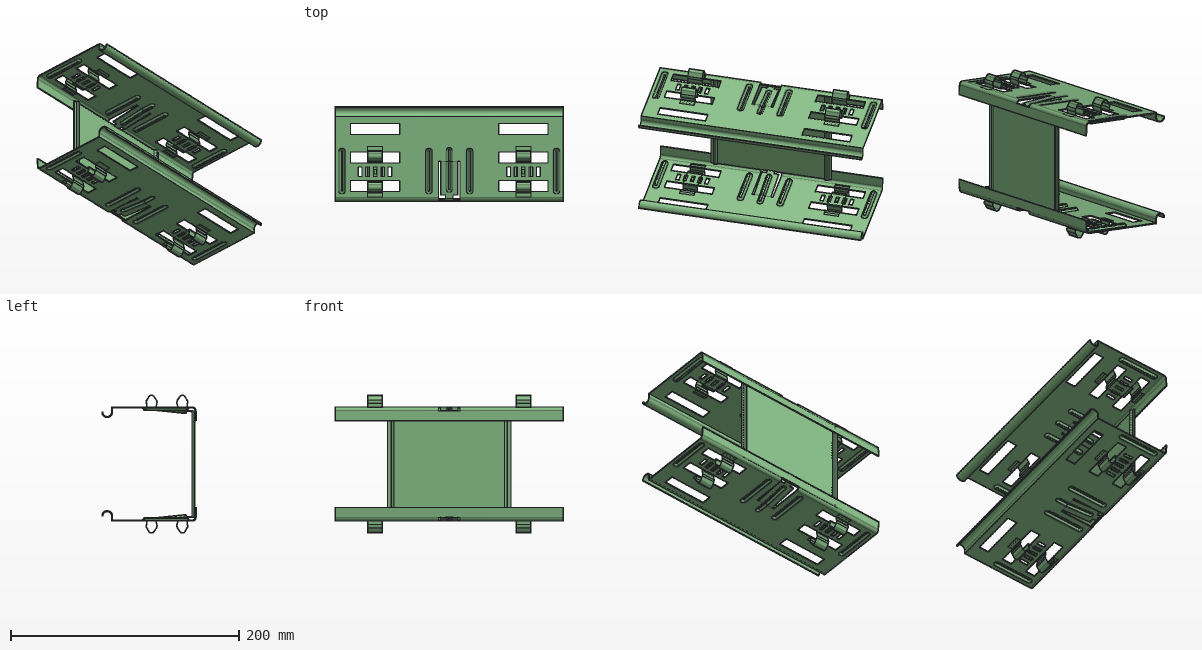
import cadquery as cq
import math


length = 200.0
half_height = 50.0
sheet = 1.0
big = 300.0

bend_radius = 3.3
flange_depth = 12.0
flange_lean = math.radians(3.0)
hook_wall_y = 74.7
hook_radius = 4.75
hook_depth = 4.5

slot_group_x = 65.0
slot_length = 43.0
slot_width = 9.5
slot_pitch = 25.0
clip_y = 26.1
small_slot_count = 5
small_slot_pitch = 6.5
small_slot_size = (3.0, 8.0)

rib_xs = (-94.0, -17.85, 17.85, 94.0)
rib_start_y = 9.6
rib_end_y = 43.8
tongue_rib_start_y = 10.4
tongue_rib_end_y = 44.9
rib_depth = 2.2
rib_floor_half_width = 0.6
rib_mouth_half_width = 2.4
rib_mouth_fillet = 1.5
tongue_rib_mouth_half_width = 2.1
tongue_rib_mouth_fillet = 1.0

window_half_width = 9.4
window_depth = bend_radius
tongue_half_width = 7.6
tongue_end_y = 5.4
tab_half_width = 3.3
hinge_y = 35.1
tongue_angle = 6.0

web_half_width = 54.2
web_half_height = half_height - window_depth
web_front_y = 1.5
web_back_y = web_front_y + sheet
bead_outer_edge_x = 51.0
bead_deepest_x = 50.4
bead_groove_radius = 1.8
bead_back_radius = 1.8
bead_back_x = 50.1

clip_width = 13.0
clip_stock = 0.4
clip_half_stock = clip_stock / 2
clip_top = 121.0 / 2
clip_base_z = half_height - sheet - clip_half_stock
clip_crown_z = clip_top - clip_half_stock
inner_leg = 9.6
inner_bulge = (8.6, 53.8)
inner_shoulder = (9.1, 55.8)
crown_start = (11.4, 59.2)
crown_middle = (13.6, clip_crown_z)
crown_end = (15.8, 59.2)
outer_shoulder = (17.5, 56.0)
outer_bulge = (18.3, 54.2)
outer_leg_top = (17.6, 53.0)
foot_tip = (22.1, half_height - 0.5)
nub_size = (2.2, 4.0, 0.6)


def box(x_range, y_range, z_range):
    """Box between the given limits."""
    size = [high - low for low, high in (x_range, y_range, z_range)]
    corner = (x_range[0], y_range[0], z_range[0])
    return cq.Workplane("XY").box(*size, centered=False).translate(corner)


def rib_frustum(x, start_y, end_y, floor_half_width, mouth_half_width, depth):
    """Round-ended tapered body sunk from the outer face of a plate, its floor centred on X = x."""
    taper = math.degrees(math.atan2(mouth_half_width - floor_half_width, depth))
    return (
        cq.Workplane("XY", origin=(x, (start_y + end_y) / 2, half_height))
        .slot2D(end_y - start_y + 2 * mouth_half_width, 2 * mouth_half_width, 90)
        .extrude(-depth, taper=taper)
    )


def press_rib(plate, x, start_y, end_y, mouth_half_width, mouth_fillet):
    """Press a tapered, round-ended rib into the outer face of a plate."""
    slope = (mouth_half_width - rib_floor_half_width) / rib_depth
    side_offset = sheet * math.hypot(1, slope)
    shell_depth = rib_depth + sheet
    shell_mouth = mouth_half_width + side_offset
    shell_floor = shell_mouth - slope * shell_depth
    shell = rib_frustum(x, start_y, end_y, shell_floor, shell_mouth, shell_depth)
    groove = rib_frustum(x, start_y, end_y, rib_floor_half_width, mouth_half_width, rib_depth)
    reach = mouth_half_width + sheet / 2
    mouth = cq.selectors.BoxSelector(
        (x - reach, start_y - reach, half_height - sheet / 2),
        (x + reach, end_y + reach, half_height + sheet / 2),
    )
    return plate.union(shell).cut(groove).edges(mouth).fillet(mouth_fillet)


def plate_section():
    """Leaning front flange, flat plate and rear hook, extruded along X."""
    top = half_height
    flange_end_z = top - flange_depth
    bend_z = top - bend_radius
    rise = bend_z + bend_radius * math.sin(flange_lean) - flange_end_z
    bend_y = bend_radius * math.cos(flange_lean) + rise * math.tan(flange_lean)
    bend_middle = (math.pi / 2 + flange_lean) / 2

    def on_bend(radius, angle):
        return (bend_y - radius * math.cos(angle), bend_z + radius * math.sin(angle))

    inner_bend = bend_radius - sheet
    hook_inner = hook_radius - sheet
    hook_y = hook_wall_y + hook_inner
    hook_z = top - hook_depth
    return (
        cq.Workplane("YZ")
        .moveTo(0, flange_end_z)
        .lineTo(*on_bend(bend_radius, flange_lean))
        .threePointArc(on_bend(bend_radius, bend_middle), (bend_y, top))
        .lineTo(hook_wall_y, top)
        .lineTo(hook_wall_y, hook_z)
        .threePointArc((hook_y, hook_z - hook_inner), (hook_y + hook_inner, hook_z))
        .lineTo(hook_y + hook_radius, hook_z)
        .threePointArc((hook_y, hook_z - hook_radius), (hook_y - hook_radius, hook_z))
        .lineTo(hook_wall_y - sheet, top - sheet)
        .lineTo(bend_y, top - sheet)
        .threePointArc(on_bend(inner_bend, bend_middle), on_bend(inner_bend, flange_lean))
        .lineTo(sheet * math.cos(flange_lean), flange_end_z - sheet * math.sin(flange_lean))
        .close()
        .extrude(length / 2, both=True)
    )


def slot_cutter():
    """Three long slots and a row of small slots at each end of the plate."""
    cutter = cq.Workplane("XY").workplane(offset=half_height - 2 * sheet)
    small_row = [(i - (small_slot_count - 1) / 2) * small_slot_pitch for i in range(small_slot_count)]
    long_points = []
    small_points = []
    for x in (-slot_group_x, slot_group_x):
        long_points += [(x, clip_y + step * slot_pitch) for step in (-0.5, 0.5, 1.5)]
        small_points += [(x + dx, clip_y) for dx in small_row]
    long_slots = cutter.pushPoints(long_points).rect(slot_length, slot_width).extrude(3 * sheet)
    small_slots = cutter.pushPoints(small_points).rect(*small_slot_size).extrude(3 * sheet)
    return long_slots.union(small_slots)


def press_tongue_rib(plate):
    """Press the middle rib, which runs across the hinge of the tongue."""
    return press_rib(
        plate,
        0,
        tongue_rib_start_y,
        tongue_rib_end_y,
        tongue_rib_mouth_half_width,
        tongue_rib_mouth_fillet,
    )


def make_tongue():
    """Ribbed tongue, bent inwards so that its tab bears on the back of the web."""
    tab_tip_y = hinge_y - (hinge_y - web_back_y) / math.cos(math.radians(tongue_angle))
    blank = box(
        (-tongue_half_width, tongue_half_width),
        (tab_tip_y, hook_wall_y),
        (half_height - sheet, half_height),
    )
    blank = press_tongue_rib(blank)
    wide_part = box((-tongue_half_width, tongue_half_width), (tongue_end_y, hinge_y), (0, half_height))
    tab = box((-tab_half_width, tab_half_width), (tab_tip_y, hinge_y), (0, half_height))
    tongue = blank.intersect(wide_part.union(tab))
    return tongue.rotate((0, hinge_y, half_height), (1, hinge_y, half_height), tongue_angle)


def make_side_plate():
    """Upper side plate, before it is relieved for the clip feet."""
    plate = plate_section()
    for x in rib_xs:
        plate = press_rib(plate, x, rib_start_y, rib_end_y, rib_mouth_half_width, rib_mouth_fillet)
    plate = press_tongue_rib(plate)
    window = box(
        (-window_half_width, window_half_width),
        (-sheet, hinge_y),
        (half_height - 2 * window_depth, half_height + sheet),
    )
    flange_below = box((-big, big), (-sheet, web_front_y), (0, half_height - window_depth))
    plate = plate.cut(window.cut(flange_below))
    return plate.cut(slot_cutter()).union(make_tongue())


def make_clip(x):
    """Upper clip: a flat base, two sprung loops and two outer feet."""
    path = (
        cq.Workplane("YZ")
        .moveTo(0, clip_base_z)
        .lineTo(inner_leg, clip_base_z)
        .lineTo(inner_leg, half_height)
        .lineTo(*inner_bulge)
        .lineTo(*inner_shoulder)
        .lineTo(*crown_start)
        .threePointArc(crown_middle, crown_end)
        .lineTo(*outer_shoulder)
        .threePointArc(outer_bulge, outer_leg_top)
        .lineTo(outer_leg_top[0], clip_base_z)
        .lineTo(*foot_tip)
    )
    half = path.wire().offset2D(clip_half_stock).extrude(clip_width / 2, both=True)
    half = half.intersect(box((-big, big), (0, big), (0, big)))
    nub_length, nub_width, nub_height = nub_size
    nub = cq.Workplane("XY").box(nub_length, nub_width, nub_height + clip_stock).translate(
        (0, 0, half_height - sheet + (nub_height - clip_stock) / 2)
    )
    clip = half.union(half.mirror("XZ")).union(nub)
    return clip.translate((x, clip_y, 0))


def make_web():
    """Web panel with a vertical bead along each side edge, pressed to the rear."""
    groove_y = web_front_y + bead_groove_radius
    groove_arc_offset = bead_groove_radius * math.sqrt(0.5)
    half = (
        cq.Workplane("XY")
        .moveTo(0, web_front_y)
        .lineTo(bead_deepest_x - bead_groove_radius, web_front_y)
        .threePointArc(
            (bead_deepest_x - groove_arc_offset, web_front_y + groove_arc_offset),
            (bead_deepest_x, groove_y),
        )
        .lineTo(bead_outer_edge_x, web_front_y)
        .lineTo(web_half_width, web_front_y)
        .lineTo(web_half_width, web_back_y)
        .lineTo(bead_back_x + bead_back_radius, web_back_y)
        .threePointArc(
            (bead_back_x, web_back_y + bead_back_radius),
            (bead_back_x - bead_back_radius, web_back_y),
        )
        .lineTo(0, web_back_y)
        .close()
        .extrude(web_half_height, both=True)
    )
    return half.union(half.mirror("YZ"))


upper_clips = [make_clip(x) for x in (-slot_group_x, slot_group_x)]
upper_plate = make_side_plate()
for clip in upper_clips:
    upper_plate = upper_plate.cut(clip)
web = make_web()

upper_bodies = [upper_plate] + upper_clips
lower_bodies = [body.mirror("XY") for body in upper_bodies]
result = cq.Compound.makeCompound([web.val()] + [body.val() for body in upper_bodies + lower_bodies])